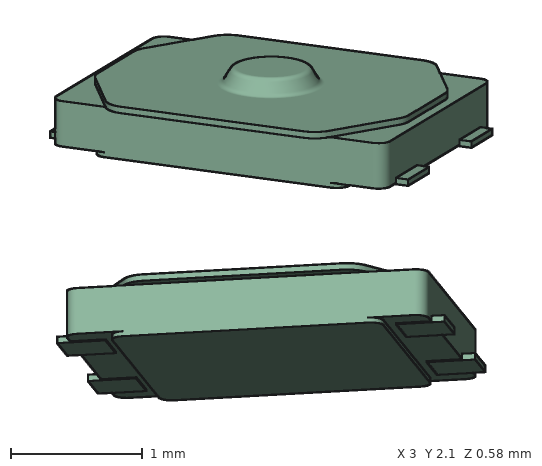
import cadquery as cq

overall_length = 3.0
overall_height = 0.58

housing_length = 2.8
housing_width = 1.9
housing_top = 0.4
corner_radius = 0.1
foot_length = 2.1
foot_height = 0.04

terminal_size = 0.375
terminal_thickness = 0.05
terminal_bottom = 0.03
terminal_offset_x = (overall_length - terminal_size) / 2
terminal_offset_y = 0.56

cover_length = 2.61
cover_width = 2.1
cover_thickness = 0.05
cover_top = housing_top + cover_thickness
cover_flat_x = 1.752
cover_flat_y = 0.762
cover_corner_radius = 0.2

button_base_radius = 0.378
button_top_radius = 0.3
button_blend_radius = 0.05


def rounded_block(length, width, bottom, top):
    """Block centred on the Z axis with rounded vertical edges."""
    block = cq.Workplane("XY").workplane(offset=bottom).rect(length, width).extrude(top - bottom)
    return block.edges("|Z").fillet(corner_radius)


def make_housing():
    """Housing block, foot and four terminals as one solid."""
    body = rounded_block(housing_length, housing_width, foot_height, housing_top)
    foot = rounded_block(foot_length, housing_width, 0, foot_height)
    terminals = (
        cq.Workplane("XY")
        .workplane(offset=terminal_bottom)
        .rect(2 * terminal_offset_x, 2 * terminal_offset_y, forConstruction=True)
        .vertices()
        .rect(terminal_size, terminal_size)
        .extrude(terminal_thickness)
    )
    return body.union(foot).union(terminals)


def make_cover():
    """Octagonal sheet with rounded corners and a blended conical button."""
    half_length = cover_length / 2
    half_width = cover_width / 2
    flat_x = cover_flat_x / 2
    flat_y = cover_flat_y / 2
    outline = [
        (half_length, flat_y),
        (flat_x, half_width),
        (-flat_x, half_width),
        (-half_length, flat_y),
        (-half_length, -flat_y),
        (-flat_x, -half_width),
        (flat_x, -half_width),
        (half_length, -flat_y),
    ]
    sheet = cq.Workplane("XY").workplane(offset=housing_top).polyline(outline).close()
    sheet = sheet.extrude(cover_thickness).edges("|Z").fillet(cover_corner_radius)

    button = cq.Workplane(
        cq.Solid.makeCone(
            button_base_radius,
            button_top_radius,
            overall_height - cover_top,
            pnt=cq.Vector(0, 0, cover_top),
        )
    )
    cover = sheet.union(button)
    cover = cover.faces(">Z").edges().fillet(button_blend_radius)
    base_edge = cover.edges("%CIRCLE").edges(cq.selectors.RadiusNthSelector(-1))
    return base_edge.fillet(button_blend_radius)


housing = make_housing()
cover = make_cover()

result = cq.Compound.makeCompound([housing.val(), cover.val()])